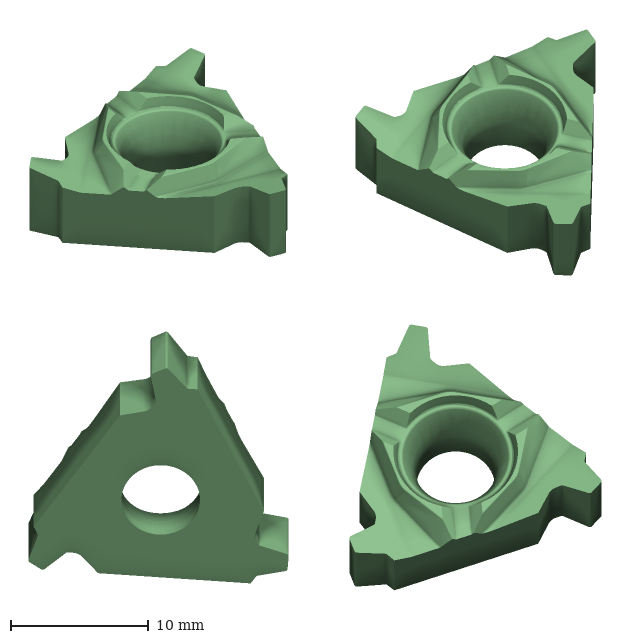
import cadquery as cq
import math

POINT_COUNT = 3
POINT_ANGLE = 360 / POINT_COUNT

total_height = 5.84
floor_z = 4.60
channel_floor_z = 5.08
seat_z = channel_floor_z

inscribed_radius = 6.35
tip_y = 9.60
root_y = 7.40
tip_left_x = -5.11
tip_width = 1.33
flank_angle = 15
shoulder_angle = 30
relief_corner_x = -0.35
relief_angle = 15
relief_round = 0.95
tip_round = 0.19
root_round = 0.15

rake_bend_y = 5.72
rake_angle = 15
rake_bend_radius = 0.5

outer_reach = 12
boss_reach = 10

boss_foot_y = 5.42
boss_top_y = 4.70
boss_bend_x = -1.37
boss_foot_bend_angle = 21
boss_top_bend_angle = 29.5
boss_bend_radius = 1.8
boss_foot_fillet = 0.2
boss_top_fillet = 0.1

channel_direction = 165
channel_offset = 0.06
channel_width = 1.10
channel_wall_angle = 40
channel_round = 0.16
channel_start = 3.5
channel_length = 4.5
channel_headroom = 0.5

bore_radius = 2.85
flare_radius = 4.8
flare_top_radius = 3.83
flare_rim_round = 0.25
recess_floor_radius = 4.20
recess_top_radius = 4.52
recess_fillet = 0.15


def tan(angle):
    return math.tan(math.radians(angle))


def sin(angle):
    return math.sin(math.radians(angle))


def cos(angle):
    return math.cos(math.radians(angle))


def turned(point, index):
    """Turn an XY point about the bore to the same place on another insert point."""
    angle = index * POINT_ANGLE
    x, y = point
    return (x * cos(angle) - y * sin(angle), x * sin(angle) + y * cos(angle))


def repeated(shape):
    """Join the copies of a shape around the bore."""
    joined = shape
    for index in range(1, POINT_COUNT):
        joined = joined.union(shape.rotate((0, 0, 0), (0, 0, 1), index * POINT_ANGLE))
    return joined


def rounded_corners(blank, corner, radius):
    """Round one upright edge of the outline on every insert point."""
    for index in range(POINT_COUNT):
        x, y = turned(corner, index)
        edge = cq.selectors.NearestToPointSelector((x, y, total_height / 2))
        blank = blank.edges("|Z").edges(edge).fillet(radius)
    return blank


def make_blank():
    """Full-height prism of the outline: a trapezoid tooth between two sloping shoulders per point."""
    flank_run = (tip_y - root_y) * tan(flank_angle)
    tip_left = (tip_left_x, tip_y)
    tip_right = (tip_left_x + tip_width, tip_y)
    root_left = (tip_left_x - flank_run, root_y)
    root_right = (tip_right[0] + flank_run, root_y)
    side_corner = (-inscribed_radius, root_y - (root_left[0] + inscribed_radius) * tan(shoulder_angle))
    side_normal = 180 - POINT_ANGLE
    relief_corner_y = (inscribed_radius - relief_corner_x * cos(side_normal)) / sin(side_normal)
    relief_corner = (relief_corner_x, relief_corner_y)
    relief_y_below_root = relief_corner_y - (relief_corner_x - root_right[0]) * tan(relief_angle)
    shoulder_run = (root_y - relief_y_below_root) / (tan(shoulder_angle) + tan(relief_angle))
    valley = (root_right[0] + shoulder_run, root_y - shoulder_run * tan(shoulder_angle))

    corners = (relief_corner, valley, root_right, tip_right, tip_left, root_left, side_corner)
    outline = [turned(corner, index) for index in range(POINT_COUNT) for corner in corners]
    blank = cq.Workplane("XY").polyline(outline).close().extrude(total_height)

    blank = rounded_corners(blank, valley, relief_round)
    for corner in (tip_left, tip_right):
        blank = rounded_corners(blank, corner, tip_round)
    for corner in (root_left, root_right):
        blank = rounded_corners(blank, corner, root_round)
    return blank


def make_rake():
    """Wedge under one rake face, blended into the floor by an arc."""
    tangent = rake_bend_radius * tan(rake_angle / 2)
    bend_start_y = rake_bend_y - tangent
    bend_end = (rake_bend_y + tangent * cos(rake_angle), floor_z + tangent * sin(rake_angle))
    outer_z = floor_z + (outer_reach - rake_bend_y) * tan(rake_angle)
    return (
        cq.Workplane("YZ")
        .lineTo(0, floor_z)
        .lineTo(bend_start_y, floor_z)
        .tangentArcPoint(bend_end, relative=False)
        .lineTo(outer_reach, outer_z)
        .lineTo(outer_reach, 0)
        .close()
        .extrude(outer_reach, both=True)
    )


def boss_section(side_y, bend_angle, z):
    """Horizontal boss outline: three straight sides, each bent once with a rounded bend."""
    slope = tan(bend_angle)
    bend_line_y = side_y - slope * boss_bend_x
    corner_offset = side_y - cos(POINT_ANGLE) * bend_line_y
    corner_x = -corner_offset / (sin(POINT_ANGLE) - cos(POINT_ANGLE) * slope)
    corner = (corner_x, bend_line_y + slope * corner_x)
    tangent = boss_bend_radius * tan(bend_angle / 2)
    bend_start = (boss_bend_x + tangent, side_y)
    bend_end = (boss_bend_x - tangent * cos(bend_angle), side_y - tangent * sin(bend_angle))
    bend_middle = (
        bend_start[0] - boss_bend_radius * sin(bend_angle / 2),
        side_y - boss_bend_radius * (1 - cos(bend_angle / 2)),
    )

    section = cq.Workplane("XY", origin=(0, 0, z)).moveTo(*turned(corner, -1))
    for index in range(POINT_COUNT):
        section = section.lineTo(*turned(bend_start, index))
        section = section.threePointArc(turned(bend_middle, index), turned(bend_end, index))
        if index < POINT_COUNT - 1:
            section = section.lineTo(*turned(corner, index))
    return section.close().val()


def make_boss():
    foot = boss_section(boss_foot_y, boss_foot_bend_angle, floor_z)
    top = boss_section(boss_top_y, boss_top_bend_angle, total_height)
    return cq.Workplane(cq.Solid.makeLoft([foot, top], True))


def make_channel():
    """Trapezoid channel with rounded floor corners, running outward along channel_direction."""
    half_floor = channel_width / 2
    wall_height = total_height + channel_headroom - channel_floor_z
    half_top = half_floor + wall_height / tan(channel_wall_angle)
    profile = [(-half_floor, 0), (half_floor, 0), (half_top, wall_height), (-half_top, wall_height)]
    return (
        cq.Workplane("YZ", origin=(channel_start, 0, 0))
        .polyline(profile)
        .close()
        .extrude(channel_length)
        .edges("|X and <Z")
        .fillet(channel_round)
        .translate((0, channel_offset, channel_floor_z))
        .rotate((0, 0, 0), (0, 0, 1), channel_direction)
    )


def make_bore():
    """Revolved hole: cylinder, trumpet flare, rounded rim, flat seat and conical recess."""
    flare_angle = math.degrees(math.acos(1 - (flare_top_radius - bore_radius) / flare_radius))
    rim_turn = 90 - flare_angle
    rim_radius = flare_top_radius + flare_rim_round * sin(rim_turn)
    flare_top_z = seat_z - flare_rim_round * (1 - cos(rim_turn))
    flare_start_z = flare_top_z - flare_radius * sin(flare_angle)

    wall_angle = math.degrees(math.atan2(total_height - seat_z, recess_top_radius - recess_floor_radius))
    tangent = recess_fillet * tan(wall_angle / 2)
    fillet_end = (recess_floor_radius + tangent * cos(wall_angle), seat_z + tangent * sin(wall_angle))
    return (
        cq.Workplane("XZ")
        .lineTo(bore_radius, 0)
        .lineTo(bore_radius, flare_start_z)
        .tangentArcPoint((flare_top_radius, flare_top_z), relative=False)
        .tangentArcPoint((rim_radius, seat_z), relative=False)
        .lineTo(recess_floor_radius - tangent, seat_z)
        .tangentArcPoint(fillet_end, relative=False)
        .lineTo(recess_top_radius, total_height)
        .lineTo(0, total_height)
        .close()
        .revolve()
    )


def make_core():
    """Flat floor with the raised boss, filleted around the foot and along the top edge."""
    slab = cq.Workplane("XY").circle(outer_reach).extrude(floor_z)
    core = slab.union(make_boss())
    margin = 0.01
    foot_zone = cq.selectors.BoxSelector(
        (-boss_reach, -boss_reach, floor_z - margin),
        (boss_reach, boss_reach, floor_z + margin),
        boundingbox=True,
    )
    core = core.edges(foot_zone).fillet(boss_foot_fillet)
    return core.faces(">Z").edges().fillet(boss_top_fillet)


blank = make_blank()
body = make_core().union(repeated(make_rake())).intersect(blank)
result = body.cut(repeated(make_channel())).cut(make_bore())